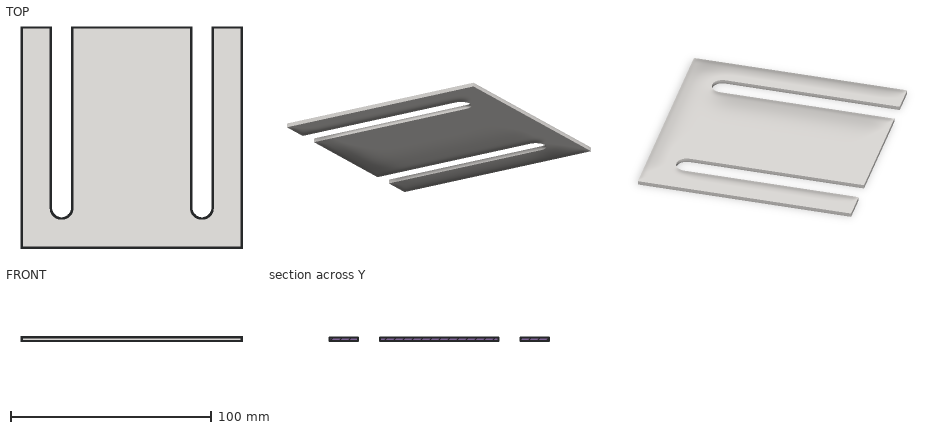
import cadquery as cq

plate_side = 110.0
plate_thickness = 2.0

slot_width = 10.6
slot_spacing = 70.0
slot_end_offset = 20.0


def make_plate():
    """Flat square plate centred on the origin in X, Y and Z."""
    return cq.Workplane("XY").box(plate_side, plate_side, plate_thickness)


def make_slot(center_x):
    """Cutter for a slot with a round inner end, open at the +Y edge."""
    slot_radius = slot_width / 2
    left = center_x - slot_radius
    right = center_x + slot_radius
    open_end_y = plate_side / 2
    arc_center_y = -plate_side / 2 + slot_end_offset
    return (
        cq.Workplane("XY")
        .workplane(offset=-plate_thickness / 2)
        .moveTo(left, open_end_y)
        .lineTo(left, arc_center_y)
        .threePointArc((center_x, arc_center_y - slot_radius), (right, arc_center_y))
        .lineTo(right, open_end_y)
        .close()
        .extrude(plate_thickness)
    )


result = make_plate()
for side in (-1, 1):
    result = result.cut(make_slot(side * slot_spacing / 2))